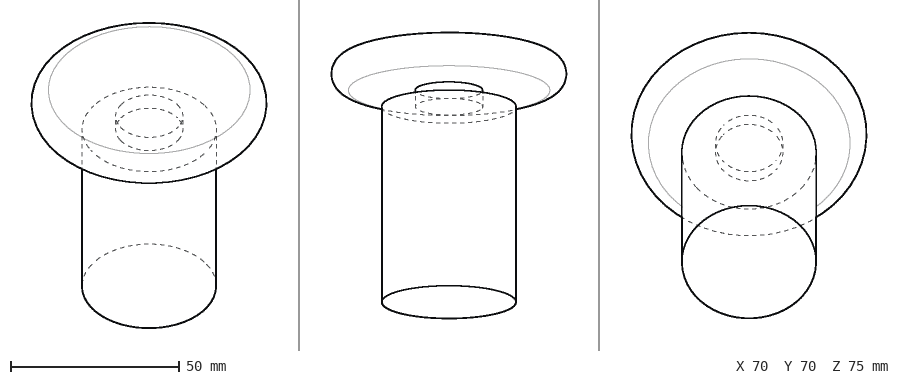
import cadquery as cq

total_height = 75.0
body_diameter = 40.0
body_height = 60.0
neck_diameter = 20.0
cap_diameter = 70.0
cap_thickness = 10.0

cap_bottom = total_height - cap_thickness
neck_height = cap_bottom - body_height
rim_radius = cap_thickness / 2
cap_radius = cap_diameter / 2
cap_flat_radius = cap_radius - rim_radius


def make_body():
    """Plain cylindrical body standing on the XY plane."""
    return cq.Workplane("XY").circle(body_diameter / 2).extrude(body_height)


def make_neck():
    """Narrow neck joining the body to the cap."""
    return (
        cq.Workplane("XY")
        .workplane(offset=body_height)
        .circle(neck_diameter / 2)
        .extrude(neck_height)
    )


def make_cap():
    """Flat disc with a fully rounded rim, revolved about Z."""
    return (
        cq.Workplane("XZ")
        .moveTo(0, cap_bottom)
        .lineTo(cap_flat_radius, cap_bottom)
        .threePointArc(
            (cap_radius, cap_bottom + rim_radius),
            (cap_flat_radius, total_height),
        )
        .lineTo(0, total_height)
        .close()
        .revolve(360, (0, 0, 0), (0, 1, 0))
    )


result = make_body().union(make_neck()).union(make_cap())